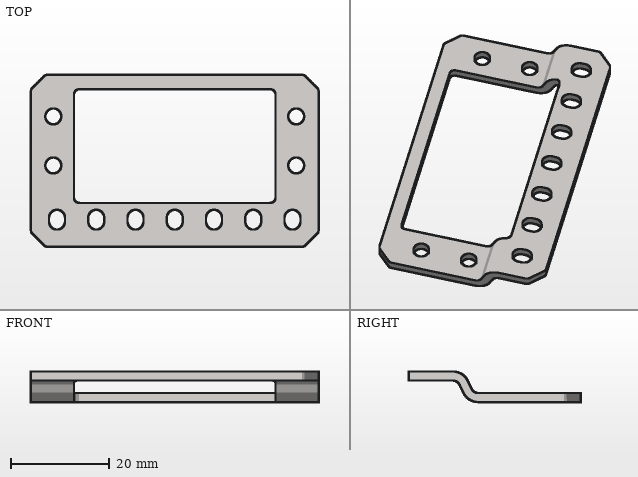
import cadquery as cq
import math

LENGTH = 58.7
WIDTH = 35.1
HEIGHT = 6.3
THICKNESS = 1.9
CORNER_CHAMFER = 3.0
CORNER_RADIUS = 1.0

FRONT_FLANGE = 9.0
BEND_ANGLE = math.radians(64)
INNER_RADIUS = 1.5

WINDOW_LENGTH = 41.0
REAR_RAIL = 3.0
WINDOW_RADIUS = 1.0

HOLE_DIAMETER = 3.2
HOLE_EDGE_X = 4.6
HOLE_EDGE_Y = 8.5
HOLE_PITCH_Y = 10.0

SLOT_COUNT = 7
SLOT_PITCH = 8.0
SLOT_WIDTH = 3.2
SLOT_LENGTH = 4.0
SLOT_EDGE_Y = 5.55

FRONT_Y = -WIDTH / 2
REAR_Y = WIDTH / 2
BEND_Y = FRONT_Y + FRONT_FLANGE
OUTER_RADIUS = INNER_RADIUS + THICKNESS
BOTH_RADII = INNER_RADIUS + OUTER_RADIUS
STEP = HEIGHT - THICKNESS
WEB_LENGTH = (STEP - BOTH_RADII * (1 - math.cos(BEND_ANGLE))) / math.sin(BEND_ANGLE)
BEND_RUN = BOTH_RADII * math.sin(BEND_ANGLE) + WEB_LENGTH * math.cos(BEND_ANGLE)
UPPER_CENTRE = (BEND_Y, HEIGHT - OUTER_RADIUS)
LOWER_CENTRE = (BEND_Y + BEND_RUN, OUTER_RADIUS)


def upper_bend_point(radius, angle):
    """Point on the upper bend, turned by angle away from the front flange."""
    return (UPPER_CENTRE[0] + radius * math.sin(angle), UPPER_CENTRE[1] + radius * math.cos(angle))


def lower_bend_point(radius, angle):
    """Point on the lower bend, turned by angle away from the rear plate."""
    return (LOWER_CENTRE[0] - radius * math.sin(angle), LOWER_CENTRE[1] - radius * math.cos(angle))


def bent_strip():
    """Joggled sheet, drawn in the YZ plane and extruded along X."""
    half = BEND_ANGLE / 2
    return (
        cq.Workplane("YZ")
        .moveTo(FRONT_Y, HEIGHT)
        .lineTo(BEND_Y, HEIGHT)
        .threePointArc(upper_bend_point(OUTER_RADIUS, half), upper_bend_point(OUTER_RADIUS, BEND_ANGLE))
        .lineTo(*lower_bend_point(INNER_RADIUS, BEND_ANGLE))
        .threePointArc(lower_bend_point(INNER_RADIUS, half), lower_bend_point(INNER_RADIUS, 0))
        .lineTo(REAR_Y, THICKNESS)
        .lineTo(REAR_Y, 0)
        .lineTo(*lower_bend_point(OUTER_RADIUS, 0))
        .threePointArc(lower_bend_point(OUTER_RADIUS, half), lower_bend_point(OUTER_RADIUS, BEND_ANGLE))
        .lineTo(*upper_bend_point(INNER_RADIUS, BEND_ANGLE))
        .threePointArc(upper_bend_point(INNER_RADIUS, half), upper_bend_point(INNER_RADIUS, 0))
        .lineTo(FRONT_Y, HEIGHT - THICKNESS)
        .close()
        .extrude(LENGTH / 2, both=True)
    )


def plan_outline():
    """Full-height block with chamfered corners whose edges are rounded."""
    return (
        cq.Workplane("XY")
        .rect(LENGTH, WIDTH)
        .extrude(HEIGHT)
        .edges("|Z")
        .chamfer(CORNER_CHAMFER)
        .edges("|Z")
        .fillet(CORNER_RADIUS)
    )


def window():
    """Round-cornered opening between the front flange and the rear rail."""
    depth = WIDTH - FRONT_FLANGE - REAR_RAIL
    return (
        cq.Workplane("XY")
        .center(0, BEND_Y + depth / 2)
        .rect(WINDOW_LENGTH, depth)
        .extrude(HEIGHT)
        .edges("|Z")
        .fillet(WINDOW_RADIUS)
    )


def rail_holes():
    """Two round holes in each side rail."""
    hole_x = LENGTH / 2 - HOLE_EDGE_X
    first_y = REAR_Y - HOLE_EDGE_Y
    centres = [(x, y) for x in (-hole_x, hole_x) for y in (first_y, first_y - HOLE_PITCH_Y)]
    return cq.Workplane("XY").pushPoints(centres).circle(HOLE_DIAMETER / 2).extrude(HEIGHT)


def flange_slots():
    """Row of slots along the front flange, each elongated along Y."""
    return (
        cq.Workplane("XY")
        .center(0, FRONT_Y + SLOT_EDGE_Y)
        .rarray(SLOT_PITCH, 1, SLOT_COUNT, 1)
        .slot2D(SLOT_LENGTH, SLOT_WIDTH, 90)
        .extrude(HEIGHT)
    )


result = (
    bent_strip()
    .intersect(plan_outline())
    .cut(window())
    .cut(rail_holes())
    .cut(flange_slots())
)